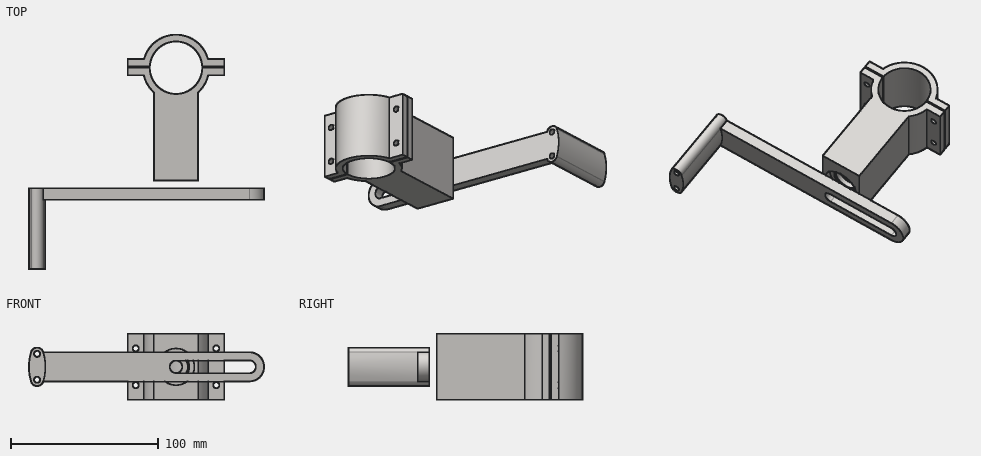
import cadquery as cq
import math

clamp_height = 45.0
tube_radius = 17.8
clamp_radius = 22.5
split_gap = 1.0
ear_span = 65.6
ear_thickness = 5.1
ear_hole_diameter = 4.0
ear_hole_spacing_x = 54.7
ear_hole_spacing_z = 25.0

block_width = 30.0
block_front_y = -76.8
bolt_diameter = 8.5
recess_diameter = 25.0
recess_depth = 5.0
seat_diameter = 16.2
step_diameter = 18.0
step_depth = 1.0
seat_depth = 9.9

arm_gap = 5.0
arm_thickness = 8.0
arm_height = 20.0
arm_length = 160.0
slot_width = bolt_diameter
slot_travel = 49.9
grip_width = 11.4
grip_length = 55.0
grip_end_radius = 4.3
grip_hole_diameter = 4.0
grip_hole_spacing = 17.6

arm_back_y = block_front_y - arm_gap
arm_end_radius = arm_height / 2
arm_right_x = slot_travel + arm_end_radius
grip_center_x = arm_right_x - arm_length + grip_width / 2


def box(x_min, x_max, y_min, y_max, height):
    """Box between the given X and Y limits, centered on z = 0."""
    center = ((x_min + x_max) / 2, (y_min + y_max) / 2, 0)
    return cq.Workplane("XY").box(x_max - x_min, y_max - y_min, height).translate(center)


def upright_cylinder(radius):
    """Cylinder on the tube axis, as tall as the clamp."""
    return cq.Workplane("XY").circle(radius).extrude(clamp_height / 2, both=True)


def cylinder_back(diameter, front_y, length, x=0, z=0):
    """Cylinder that starts at front_y and runs toward +Y."""
    plane = cq.Plane(origin=(x, front_y, z), xDir=(1, 0, 0), normal=(0, 1, 0))
    return cq.Workplane(plane).circle(diameter / 2).extrude(length)


def drill_ears(body):
    for x in (-ear_hole_spacing_x / 2, ear_hole_spacing_x / 2):
        for z in (-ear_hole_spacing_z / 2, ear_hole_spacing_z / 2):
            body = body.cut(cylinder_back(ear_hole_diameter, -clamp_radius, 2 * clamp_radius, x, z))
    return body


def make_clamp_half(split_y, side):
    """Half ring with two ears, on the +Y side (side = 1) or the -Y side (side = -1)."""
    y_min, y_max = sorted((split_y, side * clamp_radius))
    ring = upright_cylinder(clamp_radius).intersect(
        box(-clamp_radius, clamp_radius, y_min, y_max, clamp_height)
    )
    ear_min, ear_max = sorted((split_y, split_y + side * ear_thickness))
    ears = box(-ear_span / 2, ear_span / 2, ear_min, ear_max, clamp_height)
    return drill_ears(ring.union(ears))


def make_cap():
    return make_clamp_half(split_gap, 1).cut(upright_cylinder(tube_radius))


def cut_bolt_seat(body):
    """Round recess, a shallow step, a deeper seat and a bolt hole through to the tube bore."""
    recess_floor_y = block_front_y + recess_depth
    body = body.cut(cylinder_back(recess_diameter, block_front_y, recess_depth))
    body = body.cut(cylinder_back(step_diameter, recess_floor_y, step_depth))
    body = body.cut(cylinder_back(seat_diameter, block_front_y, seat_depth))
    return body.cut(cylinder_back(bolt_diameter, block_front_y, -block_front_y))


def make_base():
    block = box(-block_width / 2, block_width / 2, block_front_y, -tube_radius / 2, clamp_height)
    base = make_clamp_half(0, -1).union(block).cut(upright_cylinder(tube_radius))
    return cut_bolt_seat(base)


def make_grip():
    """Oval bar along Y: two small end arcs tangent to two wide side arcs."""
    half_width = grip_width / 2
    end_z = grip_hole_spacing / 2
    side_radius = (end_z**2 + half_width**2 - grip_end_radius**2) / (2 * (half_width - grip_end_radius))
    tangent_angle = math.atan2(end_z, side_radius - half_width)
    tangent_x = grip_end_radius * math.cos(tangent_angle)
    tangent_z = end_z + grip_end_radius * math.sin(tangent_angle)
    tip_z = end_z + grip_end_radius
    plane = cq.Plane(origin=(grip_center_x, arm_back_y, 0), xDir=(1, 0, 0), normal=(0, -1, 0))
    return (
        cq.Workplane(plane)
        .moveTo(tangent_x, -tangent_z)
        .threePointArc((half_width, 0), (tangent_x, tangent_z))
        .threePointArc((0, tip_z), (-tangent_x, tangent_z))
        .threePointArc((-half_width, 0), (-tangent_x, -tangent_z))
        .threePointArc((0, -tip_z), (tangent_x, -tangent_z))
        .close()
        .extrude(grip_length)
    )


def make_arm():
    """Flat bar with a rounded, slotted right end and the grip at its left end."""
    arm_front_y = arm_back_y - arm_thickness
    bar = box(grip_center_x, slot_travel, arm_front_y, arm_back_y, arm_height)
    round_end = cylinder_back(arm_height, arm_front_y, arm_thickness, slot_travel)
    slot = box(0, slot_travel, arm_front_y, arm_back_y, slot_width)
    for x in (0, slot_travel):
        slot = slot.union(cylinder_back(slot_width, arm_front_y, arm_thickness, x))
    arm = bar.union(round_end).cut(slot).union(make_grip())
    for z in (-grip_hole_spacing / 2, grip_hole_spacing / 2):
        arm = arm.cut(
            cylinder_back(grip_hole_diameter, arm_back_y - grip_length, grip_length, grip_center_x, z)
        )
    return arm


cap = make_cap()
base = make_base()
arm = make_arm()

result = cq.Compound.makeCompound([cap.val(), base.val(), arm.val()])